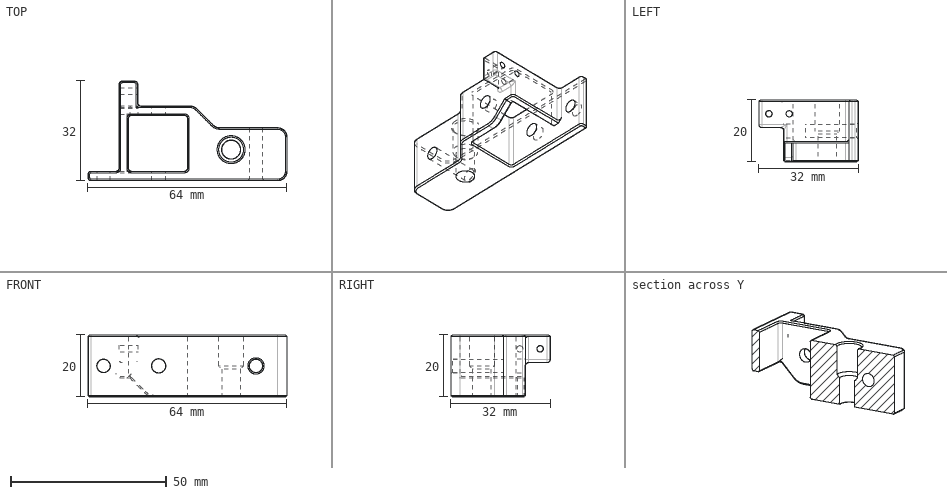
import cadquery as cq

length = 64.0
depth = 32.0
height = 20.0

wall = 3.0
small_radius = 1.0
large_radius = wall
edge_chamfer = 0.5

frame_left = 10.0
pocket_length = 19.0
pocket_depth = 18.0
pocket_left = frame_left + wall
frame_back = wall + pocket_depth + wall

bar_depth = 17.0
shoulder_left = 34.1
shoulder_right = shoulder_left + frame_back - bar_depth

arm_width = 6.0
arm_height = 8.95
arm_right = frame_left + arm_width
arm_bottom = height - arm_height

relief_height = 6.0
relief_slope_left = 13.5
relief_slope_right = relief_slope_left + relief_height
relief_slope_radius = 5.0

front_holes = [(5.0, 4.2), (22.7, 4.5), (54.0, 4.2)]
tapped_hole_x, tapped_hole_diameter = front_holes[2]
tapped_hole_mouth = 5.25

pin_diameter = 2.0
pin_z = 15.5
arm_pin_y = 28.75
frame_pin_y = 22.2
frame_pin_depth = arm_width

bore_x = 46.0
bore_y = 10.0
bore_diameter = 8.0
bore_depth = height / 2
through_diameter = 6.0

margin = 0.05
overrun = 3.2


def edges_in(x_range, y_range, z_range):
    """Selector for edges whose centre lies in a box, widened by the margin."""
    low, high = zip(x_range, y_range, z_range)
    return cq.selectors.BoxSelector([v - margin for v in low], [v + margin for v in high])


def upright_at(x, y):
    """Selector for the vertical edges at one plan position."""
    return edges_in((x, x), (y, y), (0, height)) & cq.selectors.ParallelDirSelector(cq.Vector(0, 0, 1))


def round_uprights(body, positions, radius):
    for x, y in positions:
        body = body.edges(upright_at(x, y)).fillet(radius)
    return body


def plate_frame_and_bar():
    outline = [
        (0, 0),
        (length, 0),
        (length, bar_depth),
        (shoulder_right, bar_depth),
        (shoulder_left, frame_back),
        (frame_left, frame_back),
        (frame_left, wall),
        (0, wall),
    ]
    body = cq.Workplane("XY").polyline(outline).close().extrude(height)
    plate_end = [(0, 0), (0, wall)]
    bar_end = [(length, 0), (length, bar_depth)]
    shoulder = [(shoulder_right, bar_depth), (shoulder_left, frame_back)]
    body = round_uprights(body, plate_end, small_radius)
    return round_uprights(body, bar_end + shoulder, large_radius)


def pocket():
    """Tool for the pocket; its left corners are rounded after the underside is chamfered."""
    block = cq.Workplane("XY").box(pocket_length, pocket_depth, height, centered=False)
    return block.edges("|Z and >X").fillet(small_radius).translate((pocket_left, wall, 0))


def relief():
    """Tool that clears the space below the frame, behind the plate."""
    right = relief_slope_right + relief_slope_radius
    profile = [
        (0, relief_height),
        (relief_slope_left, relief_height),
        (relief_slope_right, 0),
        (right, 0),
        (right, -overrun),
        (0, -overrun),
    ]
    tool = cq.Workplane("XZ", origin=(0, wall, 0)).polyline(profile).close().extrude(-depth)
    slope_foot = edges_in((relief_slope_right, relief_slope_right), (wall, wall + depth), (0, 0))
    return tool.edges(slope_foot).fillet(relief_slope_radius)


def arm():
    overlap = wall
    arm_start = frame_back - overlap
    block = cq.Workplane("XY").box(arm_width, depth - arm_start, arm_height, centered=False)
    return block.translate((frame_left, arm_start, arm_bottom))


def round_arm(body):
    """Round the arm's end and underside, and the left corner of the frame below it."""
    arm_x = (frame_left, arm_right)
    underside = edges_in(arm_x, (frame_back + 2 * margin, depth), (arm_bottom, arm_bottom))
    left_end = upright_at(frame_left, depth)
    right_end = upright_at(arm_right, depth)
    frame_corner = upright_at(frame_left, frame_back)
    return body.edges(underside + left_end + right_end + frame_corner).fillet(small_radius)


def chamfer_underside(body):
    """Chamfer the lower rim of the part, following the relief and its slope."""
    lower = edges_in((0, length), (0, depth), (0, relief_height))
    plate_joint = edges_in((0, pocket_left + pocket_length), (wall, wall), (2 * margin, relief_height))
    back_wall_middle = frame_back - wall / 2
    across_slope = edges_in(
        (pocket_left + 2 * margin, pocket_left + pocket_length - 2 * margin),
        (back_wall_middle, back_wall_middle),
        (0, relief_height),
    )
    return body.edges(lower - plate_joint - across_slope).chamfer(edge_chamfer)


def cone_frustum(start_diameter, end_diameter, plane):
    """45 degree cone that narrows from the plane along its normal."""
    run = (start_diameter - end_diameter) / 2
    start = cq.Workplane(plane).circle(start_diameter / 2)
    return start.workplane(offset=run).circle(end_diameter / 2).loft()


def drill(plane, diameter, hole_depth):
    return cq.Workplane(plane).circle(diameter / 2).extrude(hole_depth)


def cut_front_holes(body):
    """Drill through the full depth and countersink the tapped hole at the front."""

    def front_plane(x):
        return cq.Plane(origin=(x, 0, height / 2), xDir=(1, 0, 0), normal=(0, 1, 0))

    for x, diameter in front_holes:
        body = body.cut(drill(front_plane(x), diameter, depth))
    return body.cut(cone_frustum(tapped_hole_mouth, tapped_hole_diameter, front_plane(tapped_hole_x)))


def cut_pin_holes(body):
    for y, hole_depth in [(arm_pin_y, arm_width), (frame_pin_y, frame_pin_depth)]:
        plane = cq.Plane(origin=(frame_left, y, pin_z), xDir=(0, 1, 0), normal=(1, 0, 0))
        body = body.cut(drill(plane, pin_diameter, hole_depth))
    return body


def cut_bore(body):
    """Cut the chamfered bore, its conical floor and the smaller hole that goes on through."""
    top = cq.Plane(origin=(bore_x, bore_y, height), xDir=(1, 0, 0), normal=(0, 0, -1))
    floor_z = height - bore_depth
    floor = cq.Plane(origin=(bore_x, bore_y, floor_z), xDir=(1, 0, 0), normal=(0, 0, -1))
    body = body.cut(cone_frustum(bore_diameter + 2 * edge_chamfer, bore_diameter, top))
    body = body.cut(drill(top, bore_diameter, bore_depth))
    body = body.cut(cone_frustum(bore_diameter, through_diameter, floor))
    return body.cut(drill(top, through_diameter, height))


body = plate_frame_and_bar().cut(pocket()).cut(relief()).union(arm()).clean()
body = round_arm(body)
body = chamfer_underside(body)

frame_inside_corners = [(frame_left, wall), (pocket_left, wall), (pocket_left, wall + pocket_depth)]
body = round_uprights(body, frame_inside_corners, small_radius)

body = body.faces(">Z").edges().chamfer(edge_chamfer)

body = round_uprights(body, [(arm_right, frame_back)], small_radius)

body = cut_front_holes(body)
body = cut_pin_holes(body)
result = cut_bore(body)